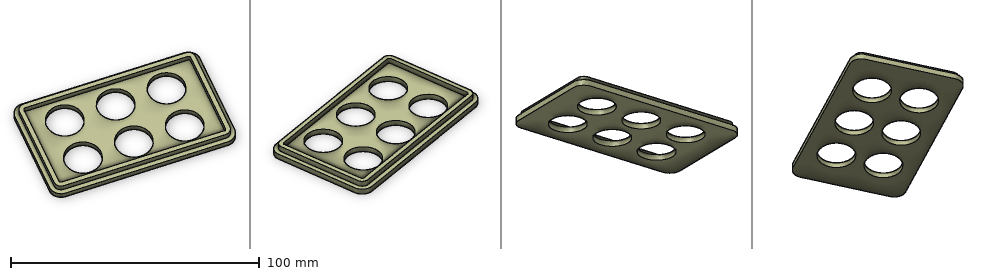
import cadquery as cq

length = 80.0
width = 48.0
height = 5.0
base_thickness = 2.5
corner_radius = 5.0

ledge_width = 2.0
rim_width = 2.0
rim_height = height - base_thickness

hole_diameter = 15.6
hole_columns = 2
hole_rows = 3
column_spacing = 20.0
row_spacing = 22.0


def inset_slab(inset, bottom, thickness):
    """Rounded slab whose outline lies a given inset inside the plate outline."""
    return (
        cq.Workplane("XY")
        .workplane(offset=bottom)
        .rect(width - 2 * inset, length - 2 * inset)
        .extrude(thickness)
        .edges("|Z")
        .fillet(corner_radius - inset)
    )


base = inset_slab(0, 0, base_thickness)

rim_outer = inset_slab(ledge_width, base_thickness, rim_height)
rim_inner = inset_slab(ledge_width + rim_width, base_thickness, rim_height)
rim = rim_outer.cut(rim_inner)

holes = (
    cq.Workplane("XY")
    .rarray(column_spacing, row_spacing, hole_columns, hole_rows)
    .circle(hole_diameter / 2)
    .extrude(base_thickness)
)

result = base.union(rim).cut(holes)